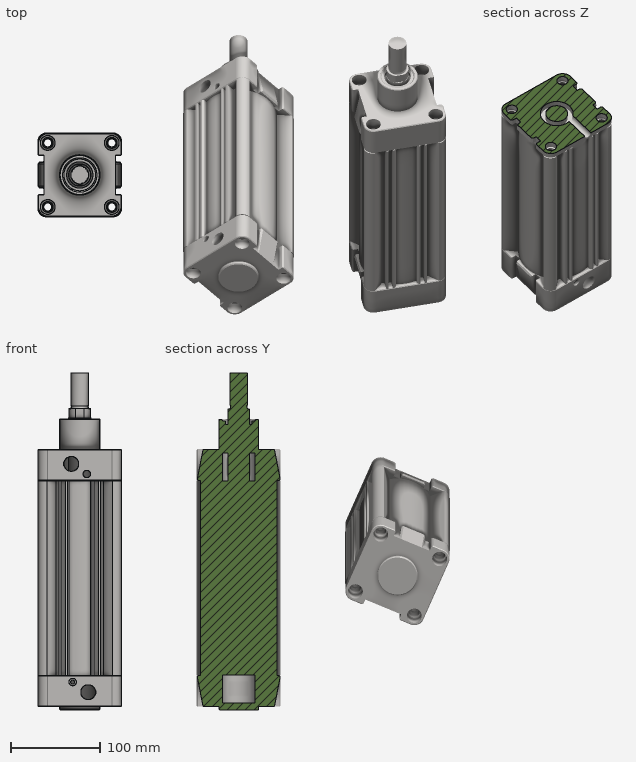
import cadquery as cq

total_height = 378
side = 94.0
half_side = side / 2

foot_bottom = 3.8
cap_height = 35.0
foot_top = foot_bottom + cap_height
head_top = 292.2
head_bottom = head_top - cap_height
collar_top = 326.2
neck_bottom = 327.5
neck_top = 338.0
thread_bottom = 341.0

cap_corner_radius = 11.0
cap_chamfer = 0.95
recess_depth = 6.8
recess_width = 44.0
recess_mouth_chamfer = 1.5
chamber_radius = 18.0
chamber_end_wall = 4.5

lug_width = 28.7
lug_chamfer = 2.0
lug_root = 5.5

screw_spacing = 72.0
screw_radius = 4.5
clearance_radius = 6.0
counterbore_radius = 8.5
counterbore_depth = 15.0

port_offset = 9.5
port_from_end = 16.3
port_radius = 8.5
needle_offset = 8.0
needle_from_end = 27.5
needle_radius = 4.0
needle_bore_radius = 2.3
needle_seat_depth = 3.8

barrel_corner_radius = 10.2
barrel_radius = 43.0
x_side_valley = 24.5
y_side_valley = 26.5

slot_near = 16.0
slot_far = 20.8
slot_floor = 37.8
lip_near = 12.0
lip_far = 23.5
lip_chamfer = 2.0
lip_root = 34.0

collar_radius = 22.5
collar_chamfer = 0.8
seal_seat_radius = 19.3
seal_seat_depth = 2.0
seal_seat_slope = 1.5
wiper_radius = 14.7
wiper_depth = 5.5
boss_chamfer = 1.0

rod_radius = 12.5
neck_radius = 12.3
flat_width = 22.5
thread_radius = 10.0
undercut_radius = 9.0


def cylinder(radius, bottom, top):
    """Upright cylinder on the main axis, between two levels."""
    return cq.Workplane("XY").workplane(offset=bottom).circle(radius).extrude(top - bottom)


def box(x_range, y_range, z_range):
    """Box between the two limits given along each axis."""
    spans = [high - low for low, high in (x_range, y_range, z_range)]
    corner = (x_range[0], y_range[0], z_range[0])
    return cq.Workplane("XY").box(*spans, centered=False).translate(corner)


def with_mirror(shape):
    """The shape together with its mirror image across the YZ plane."""
    return shape.union(shape.mirror("YZ"))


def make_lug():
    """Wedge on the +X side, flush with the recess floor at the top and full size at the bottom."""
    floor_x = half_side - recess_depth
    root_x = floor_x - lug_root
    wedge = (
        cq.Workplane("XZ", origin=(0, lug_width / 2, 0))
        .polyline([(root_x, head_bottom), (half_side, head_bottom), (floor_x, head_top), (root_x, head_top)])
        .close()
        .extrude(lug_width)
    )
    return wedge.faces(">X").edges("not >Z").chamfer(lug_chamfer)


def make_cap():
    """End cap in the head position: side recesses with a wedge lug in each."""
    cap = (
        cq.Workplane("XY")
        .workplane(offset=head_bottom)
        .rect(side, side)
        .extrude(cap_height)
        .edges("|Z")
        .fillet(cap_corner_radius)
        .faces("<Z or >Z")
        .chamfer(cap_chamfer)
    )
    floor_x = half_side - recess_depth
    half_width = recess_width / 2
    half_mouth = half_width + recess_mouth_chamfer
    half_outline = [
        (floor_x, half_width),
        (half_side - recess_mouth_chamfer, half_width),
        (half_side, half_mouth),
    ]
    recess = (
        cq.Workplane("XY")
        .workplane(offset=head_bottom)
        .polyline(half_outline + [(x, -y) for x, y in reversed(half_outline)])
        .close()
        .extrude(cap_height)
    )
    cap = cap.cut(with_mirror(recess))
    return cap.union(with_mirror(make_lug()))


def front_bore(radius, x, z, depth):
    """Cylinder running inward from the -Y face."""
    return cq.Workplane("XZ", origin=(x, -half_side, z)).circle(radius).extrude(-depth)


def make_head():
    """Head with a chamber around the rod, an air port and a needle hole that open into it."""
    head = make_cap().cut(cylinder(chamber_radius, head_bottom, head_top - chamber_end_wall))
    head = head.cut(front_bore(port_radius, -port_offset, head_top - port_from_end, half_side))
    return head.cut(front_bore(needle_radius, needle_offset, head_top - needle_from_end, half_side))


def make_foot():
    """Foot with an empty chamber, an air port, a stepped needle hole and a locating boss."""
    foot = make_cap().mirror("XY").translate((0, 0, head_top + foot_bottom))
    foot = foot.cut(cylinder(chamber_radius, foot_bottom + chamber_end_wall, foot_top))
    needle_z = foot_bottom + needle_from_end
    foot = foot.cut(front_bore(port_radius, port_offset, foot_bottom + port_from_end, half_side))
    foot = foot.cut(front_bore(needle_radius, -needle_offset, needle_z, needle_seat_depth))
    foot = foot.cut(front_bore(needle_bore_radius, -needle_offset, needle_z, half_side))
    boss = cylinder(collar_radius, 0, foot_bottom).faces("<Z").chamfer(boss_chamfer)
    return foot.union(boss)


def make_valley(width):
    """V groove along the +X side with 45 degree walls that start at the corner rounding."""
    lip = half_side - barrel_corner_radius
    floor_x = half_side - lip + width
    return (
        cq.Workplane("XY")
        .workplane(offset=foot_top)
        .polyline([(floor_x, -width), (half_side, -lip), (half_side, lip), (floor_x, width)])
        .close()
        .extrude(head_bottom - foot_top)
    )


def make_rail():
    """Rail on the +Y side, flush with the outer face and chamfered on the corner nearest the middle."""
    rail = box((lip_near, lip_far), (lip_root, half_side), (foot_top, head_bottom))
    return rail.faces("<X").edges(">Y").chamfer(lip_chamfer)


def make_barrel():
    """Square profile with the round tube showing on each side and sensor slots on the Y sides."""
    barrel = (
        cq.Workplane("XY")
        .workplane(offset=foot_top)
        .rect(side, side)
        .extrude(head_bottom - foot_top)
        .edges("|Z")
        .fillet(barrel_corner_radius)
    )
    for angle, width in ((0, x_side_valley), (90, y_side_valley), (180, x_side_valley), (270, y_side_valley)):
        barrel = barrel.cut(make_valley(width).rotate((0, 0, 0), (0, 0, 1), angle))
    barrel = barrel.union(cylinder(barrel_radius, foot_top, head_bottom))
    slots = with_mirror(box((slot_near, slot_far), (slot_floor, half_side), (foot_top, head_bottom)))
    rails = with_mirror(make_rail())
    barrel = barrel.union(rails).union(rails.mirror("XZ"))
    return barrel.cut(slots).cut(slots.mirror("XZ"))


def make_collar():
    """Guide collar on the head, with a stepped mouth around the rod."""
    collar = cylinder(collar_radius, head_top, collar_top).faces(">Z").chamfer(collar_chamfer)
    seat = cylinder(seal_seat_radius, collar_top - seal_seat_depth, collar_top)
    collar = collar.cut(seat.faces("<Z").chamfer(seal_seat_slope))
    return collar.cut(cylinder(wiper_radius, collar_top - wiper_depth, collar_top))


def make_rod():
    """Piston rod with two wrench flats, a thread undercut and the thread as a plain cylinder."""
    neck = cylinder(neck_radius, neck_bottom, neck_top)
    neck = neck.intersect(box((-side, side), (-flat_width / 2, flat_width / 2), (neck_bottom, neck_top)))
    thread_end = (
        cq.Workplane("XZ")
        .moveTo(0, neck_top)
        .lineTo(thread_radius, neck_top)
        .lineTo(undercut_radius, thread_bottom)
        .lineTo(thread_radius, thread_bottom)
        .lineTo(thread_radius, total_height)
        .lineTo(0, total_height)
        .close()
        .revolve(360, (0, 0), (0, 1))
    )
    return cylinder(rod_radius, head_bottom, neck_bottom).union(neck).union(thread_end)


def make_screw_holes():
    """Four stepped holes, right through, counterbored at both ends."""
    hole = cylinder(screw_radius, foot_bottom, head_top)
    for bottom, top in ((foot_bottom, foot_top), (head_bottom, head_top)):
        hole = hole.union(cylinder(clearance_radius, bottom, top))
    hole = hole.union(cylinder(counterbore_radius, foot_bottom, foot_bottom + counterbore_depth))
    hole = hole.union(cylinder(counterbore_radius, head_top - counterbore_depth, head_top))
    centres = cq.Workplane("XY").rect(screw_spacing, screw_spacing, forConstruction=True).vertices()
    return centres.eachpoint(lambda place: hole.val().located(place), combine=False)


body = make_foot().union(make_barrel()).union(make_head()).union(make_collar())
body = body.cut(make_screw_holes())
result = body.union(make_rod()).solids()